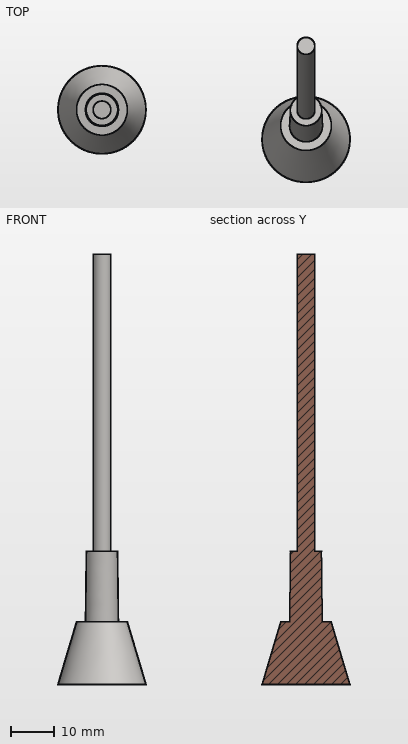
import cadquery as cq

total_height = 100.0
base_height = 14.6
sleeve_height = 16.4

base_bottom_diameter = 20.5
base_top_diameter = 11.8
sleeve_bottom_diameter = 7.7
sleeve_top_diameter = 7.3
rod_diameter = 4.1

sleeve_top = base_height + sleeve_height

profile = (
    cq.Workplane("XZ")
    .lineTo(base_bottom_diameter / 2, 0)
    .lineTo(base_top_diameter / 2, base_height)
    .lineTo(sleeve_bottom_diameter / 2, base_height)
    .lineTo(sleeve_top_diameter / 2, sleeve_top)
    .lineTo(rod_diameter / 2, sleeve_top)
    .lineTo(rod_diameter / 2, total_height)
    .lineTo(0, total_height)
    .close()
)

result = profile.revolve(360, (0, 0, 0), (0, 1, 0))